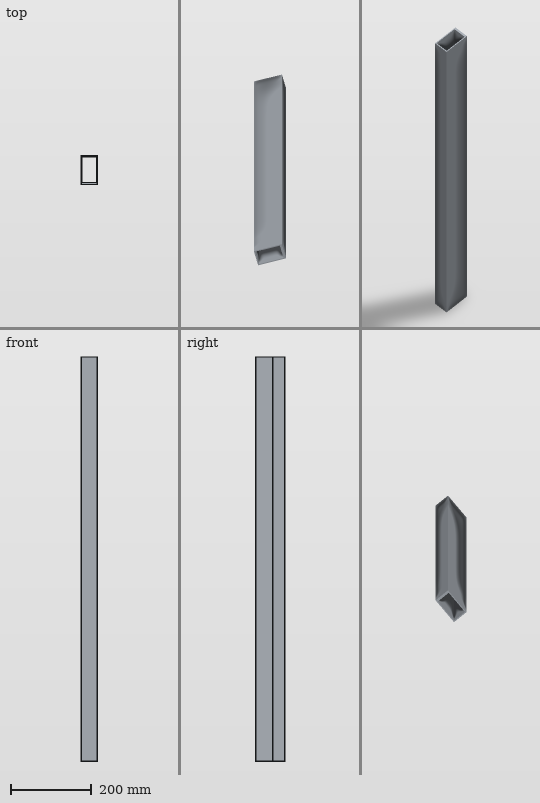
import cadquery as cq

length = 1000.0
width = 40.0
depth = 72.0

side_wall = 2.5
front_wall = 6.0
back_wall = 3.0

front_edge_y = 6.0
gap = 0.5
back_edge_y = front_edge_y + gap

front_y = -depth / 2
back_y = depth / 2
inner_width = width - 2 * side_wall


def bar(bar_width, start_y, end_y):
    """Full-length rectangular bar, centred on X and Z, between two Y planes."""
    return (
        cq.Workplane("XY")
        .box(bar_width, end_y - start_y, length)
        .translate((0, (start_y + end_y) / 2, 0))
    )


def make_front_channel():
    """U-shaped channel closed at -Y and open toward the gap."""
    cavity = bar(inner_width, front_y + front_wall, front_edge_y)
    return bar(width, front_y, front_edge_y).cut(cavity)


def make_back_channel():
    """U-shaped channel closed at +Y and open toward the gap."""
    cavity = bar(inner_width, back_edge_y, back_y - back_wall)
    return bar(width, back_edge_y, back_y).cut(cavity)


front_channel = make_front_channel()
back_channel = make_back_channel()

result = cq.Compound.makeCompound([front_channel.val(), back_channel.val()])